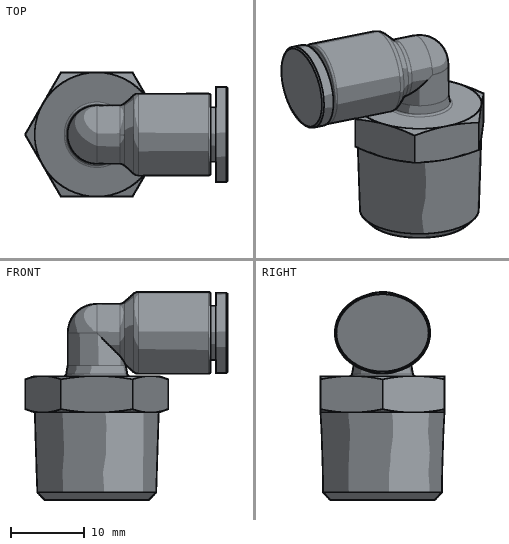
import cadquery as cq
import math

total_length = 27.75
total_height = 28.5
hex_bottom = 12.0
hex_height = 5.0
hex_top = hex_bottom + hex_height

thread_low_radius = 8.15
thread_end_radius = 7.12
thread_chamfer_height = 1.08

hex_across_flats = 17.0
hex_flat_radius = hex_across_flats / 2
hex_corner_radius = hex_across_flats / math.sqrt(3)
hex_chamfer_height = 0.45

neck_radius = 4.0
collar_top = hex_top + 1.45
collar_base_radius = 4.2
collar_base_flare = 0.28

socket_radius = 5.61
socket_axis_height = total_height - socket_radius
cone_start = 3.5
cone_end = 5.3
cone_blend_radius = 1.0
socket_end = 15.6
socket_end_round = 0.3

stem_radius = 3.73
button_start = 16.3
button_end = total_length - hex_corner_radius
button_half_width = 6.53
button_half_height = 5.5
button_end_round = 0.23


def thread():
    """Tapered plug with a chamfered lower end."""
    profile = [
        (0, 0),
        (thread_end_radius, 0),
        (thread_low_radius, thread_chamfer_height),
        (hex_flat_radius, hex_bottom),
        (0, hex_bottom),
    ]
    return cq.Workplane("XZ").polyline(profile).close().revolve(360, (0, 0), (0, 1))


def hexagon():
    """Wrench hexagon whose corners are turned off to cones at both faces."""
    prism = (
        cq.Workplane("XY")
        .workplane(offset=hex_bottom)
        .polygon(6, 2 * hex_corner_radius)
        .extrude(hex_height)
    )
    profile = [
        (0, hex_bottom),
        (hex_flat_radius, hex_bottom),
        (hex_corner_radius, hex_bottom + hex_chamfer_height),
        (hex_corner_radius, hex_top - hex_chamfer_height),
        (hex_flat_radius, hex_top),
        (0, hex_top),
    ]
    envelope = cq.Workplane("XZ").polyline(profile).close().revolve(360, (0, 0), (0, 1))
    return prism.intersect(envelope)


def upright_neck():
    """Vertical leg with a conical collar that flares onto the hexagon, and the ball of the bend."""
    flare_top = hex_top + collar_base_flare
    flare_radius = collar_base_radius + collar_base_flare
    middle = collar_base_flare * math.sqrt(0.5)
    leg = (
        cq.Workplane("XZ")
        .moveTo(0, hex_top)
        .lineTo(flare_radius, hex_top)
        .threePointArc((flare_radius - middle, flare_top - middle), (collar_base_radius, flare_top))
        .lineTo(neck_radius, collar_top)
        .lineTo(neck_radius, socket_axis_height)
        .lineTo(0, socket_axis_height)
        .close()
        .revolve(360, (0, 0), (0, 1))
    )
    ball = cq.Workplane("XY").sphere(neck_radius).translate((0, 0, socket_axis_height))
    return leg.union(ball)


def socket():
    """Horizontal leg that widens through a blended cone to the tube socket."""
    profile = [
        (0, 0),
        (0, neck_radius),
        (cone_start, neck_radius),
        (cone_end, socket_radius),
        (socket_end, socket_radius),
        (socket_end, 0),
    ]
    turned = cq.Workplane("XZ").polyline(profile).close().revolve(360, (0, 0), (1, 0))
    cone_edges = cq.selectors.BoxSelector(
        (cone_start - cone_blend_radius, -socket_radius, -socket_radius),
        (cone_end + cone_blend_radius, socket_radius, socket_radius),
    )
    turned = turned.edges("%CIRCLE").edges(cone_edges).fillet(cone_blend_radius)
    turned = turned.faces(">X").edges().fillet(socket_end_round)
    return turned.translate((0, 0, socket_axis_height))


def release_button():
    """Oval button on a round stem."""
    stem = (
        cq.Workplane("YZ")
        .workplane(offset=socket_end)
        .circle(stem_radius)
        .extrude(button_start - socket_end)
    )
    button = (
        cq.Workplane("YZ")
        .workplane(offset=button_start)
        .ellipse(button_half_width, button_half_height)
        .extrude(button_end - button_start)
        .faces(">X")
        .edges()
        .chamfer(button_end_round)
    )
    return stem.union(button).translate((0, 0, socket_axis_height))


result = thread().union(hexagon()).union(upright_neck()).union(socket()).union(release_button())